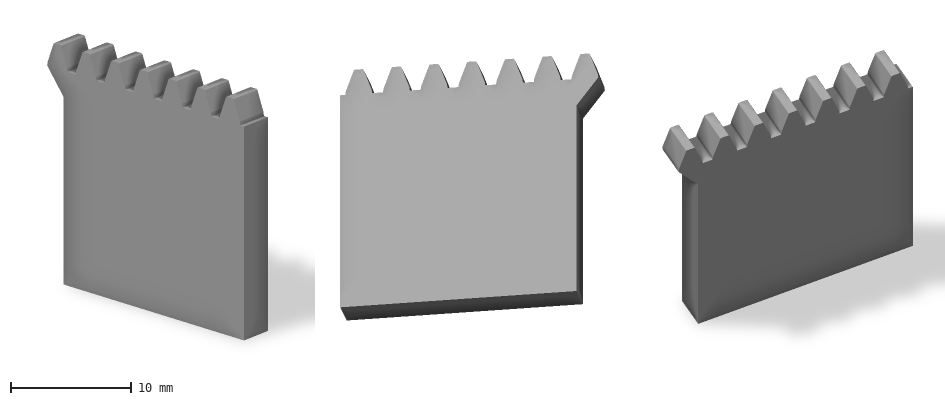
import cadquery as cq

length = 21.82
thickness = 3.0
height = 21.19

body_left = 1.83
overhang_depth = 4.55

tooth_count = 7
pitch = 3.19
tooth_depth = 2.2
flank_depth = 1.88
flank_half_width = 1.1
tip_half_width = 0.4
root_half_width = 1.13
tip_radius = 0.13

root_level = height - tooth_depth
flank_level = height - flank_depth


def tooth_points(center):
    """Corner points of one tooth, from its left root to its right root."""
    return [
        (center - root_half_width, root_level),
        (center - flank_half_width, flank_level),
        (center - tip_half_width, height),
        (center + tip_half_width, height),
        (center + flank_half_width, flank_level),
        (center + root_half_width, root_level),
    ]


outline = [(body_left, 0), (body_left, height - overhang_depth)]
for index in range(tooth_count):
    outline += tooth_points(root_half_width + index * pitch)
outline += [(length, root_level), (length, 0)]

rack = cq.Workplane("XZ").polyline(outline).close().extrude(-thickness)

result = rack.faces(">Z").edges("|Y").fillet(tip_radius)